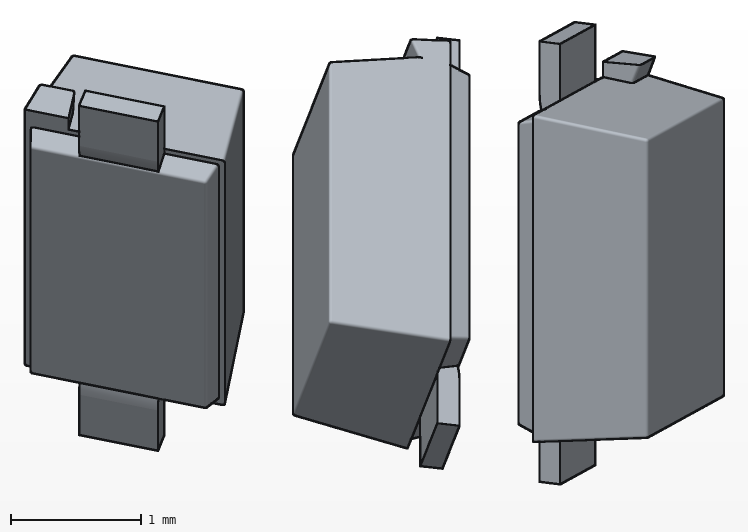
import cadquery as cq
import math


total_length = 3.5
body_width = 1.6
body_length = 2.6
body_depth = 1.1
parting_depth = 0.175
edge_radius = 0.025

cover_depth = body_depth - parting_depth
cover_draft = 7.0

tab_width = 0.35
tab_depth = 0.3
tab_top = 1.42
tab_root = 1.19
tab_back_slope = 22.0

base_depth = parting_depth
base_draft = 15.0
base_width = 1.5
base_length = 2.5

terminal_width = 0.63
terminal_thickness = parting_depth
terminal_flat = 0.427
bend_radius = 0.472
bend_angle = 28.0


def tapered_block(width, length, depth, toward_y, draft):
    """A rectangular block on the parting face, narrowing toward +Y (toward_y = 1) or -Y (-1)."""
    parting_face = cq.Plane(origin=(0, parting_depth, 0), xDir=(1, 0, 0), normal=(0, toward_y, 0))
    return cq.Workplane(parting_face).rect(width, length).extrude(depth, taper=draft)


def make_marker_tab():
    """A tab with drafted sides and a back face that undercuts toward the cover."""
    left = -body_width / 2
    right = left + tab_width
    back = parting_depth + tab_depth
    narrowing = tab_depth * math.tan(math.radians(cover_draft))
    undercut = (tab_top - tab_root) * math.tan(math.radians(tab_back_slope))

    plan = [
        (left, parting_depth),
        (right, parting_depth),
        (right - narrowing, back),
        (left + narrowing, back),
    ]
    side = [
        (parting_depth, tab_root),
        (parting_depth, tab_top),
        (back, tab_top),
        (back - undercut, tab_root),
    ]
    plan_prism = cq.Workplane("XY").polyline(plan).close().extrude(tab_top)
    side_prism = cq.Workplane("YZ").polyline(side).close().extrude(body_width / 2, both=True)
    tab = plan_prism.intersect(side_prism)

    back_face_angle = math.radians(tab_back_slope)
    back_normal = cq.Vector(0, math.cos(back_face_angle), -math.sin(back_face_angle))
    back_face = tab.faces(cq.selectors.DirectionMinMaxSelector(back_normal))
    return back_face.edges("not |X").fillet(edge_radius)


def make_cover():
    """The deep body half with the marker tab; every edge off the parting face is rounded."""
    cover = tapered_block(body_width, body_length, cover_depth, 1, cover_draft)
    cover = cover.edges("not <Y").fillet(edge_radius)
    return cover.union(make_marker_tab())


def make_terminal(end):
    """The terminal at the upper end (end = 1) or the lower end (end = -1)."""
    bend_start = total_length / 2 - terminal_flat

    def bend_point(angle):
        """Point on the underside where the bend has turned by this angle, as (Y, Z)."""
        turned = math.radians(angle)
        rise = bend_radius * (1 - math.cos(turned))
        run = bend_radius * math.sin(turned)
        return rise, end * (bend_start - run)

    bend_end = bend_point(bend_angle)
    return (
        cq.Workplane("YZ")
        .moveTo(0, end * total_length / 2)
        .lineTo(*bend_point(0))
        .threePointArc(bend_point(bend_angle / 2), bend_end)
        .lineTo(terminal_thickness, bend_end[1])
        .lineTo(terminal_thickness, end * total_length / 2)
        .close()
        .extrude(terminal_width / 2, both=True)
    )


def make_base(terminals):
    """The thin body half, rounded off the parting face, with a matching recess for each terminal."""
    base = tapered_block(base_width, base_length, base_depth, -1, base_draft)
    base = base.edges("not >Y").fillet(edge_radius)
    for terminal in terminals:
        base = base.cut(terminal)
    return base


cover = make_cover()
terminals = [make_terminal(end) for end in (1, -1)]
base = make_base(terminals)

result = cq.Compound.makeCompound([cover.val(), base.val(), *[terminal.val() for terminal in terminals]])